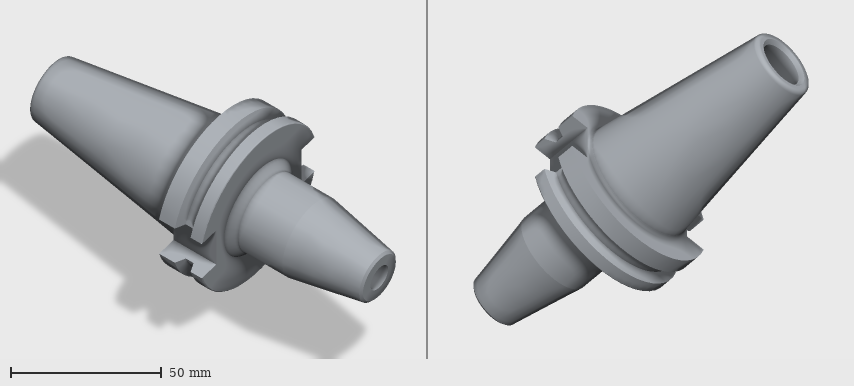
import cadquery as cq
import math


total_length = 138.2
flange_start = 69.2
flange_width = 18.0
flange_end = flange_start + flange_width
collar_end = 90.4
nose_start = 109.2

gauge_diameter = 44.5
gauge_position = 68.4
taper_slope = 7 / 24 / 2
taper_end_radius = gauge_diameter / 2 - taper_slope * gauge_position
taper_root_radius = taper_end_radius + taper_slope * flange_start
taper_end_fillet = 1.7
taper_root_fillet = 1.2

flange_radius = 31.6
flange_edge_fillet = 0.4
groove_start = 75.9
groove_end = 82.5
groove_depth = 3.6
groove_flank = groove_depth * math.tan(math.radians(25))

slot_width = 16.9
slot_floor_minus_y = 22.7
slot_floor_plus_y = 23.4

shoulder_radius = 18.4
neck_radius = 30.3 / 2
nose_tip_radius = 9.7
nose_chamfer = 0.8

mouth_radius = 18.9 / 2
counterbore_radius = 16.3 / 2
mouth_depth = 1.4
counterbore_depth = 7.9
thread_radius = 13.4 / 2
thread_depth = 30.4
inner_mouth_radius = 11 / 2
through_radius = 9.5 / 2
inner_mouth_depth = inner_mouth_radius - through_radius


def revolve_outline(points):
    """Turn an outline of (x, radius) points about the X axis."""
    outline = cq.Workplane("XY").polyline(points).close()
    return outline.revolve(360, (0, 0, 0), (1, 0, 0))


def edge_at(x, radius):
    """Select the circular edges at an axial position and radius."""
    margin = 0.01
    reach = radius + margin
    return cq.selectors.BoxSelector(
        (x - margin, -reach, -reach), (x + margin, reach, reach), boundingbox=True
    )


def make_body():
    groove_radius = flange_radius - groove_depth
    body = revolve_outline([
        (0, 0),
        (0, taper_end_radius),
        (flange_start, taper_root_radius),
        (flange_start, flange_radius),
        (groove_start, flange_radius),
        (groove_start + groove_flank, groove_radius),
        (groove_end - groove_flank, groove_radius),
        (groove_end, flange_radius),
        (flange_end, flange_radius),
        (flange_end, shoulder_radius),
        (collar_end, neck_radius),
        (nose_start, neck_radius),
        (total_length, nose_tip_radius),
        (total_length, 0),
    ])
    body = body.edges(edge_at(0, taper_end_radius)).fillet(taper_end_fillet)
    body = body.edges(edge_at(flange_start, taper_root_radius)).fillet(taper_root_fillet)
    body = body.edges(edge_at(total_length, nose_tip_radius)).chamfer(nose_chamfer)
    flange_rim = edge_at(flange_end, flange_radius) - edge_at(flange_end, shoulder_radius)
    return body.edges(flange_rim).fillet(flange_edge_fillet)


def make_slot(side, slot_floor):
    """Box that cuts one drive slot; side is +1 or -1 along Y."""
    slot_depth = flange_radius - slot_floor
    center_y = side * (slot_floor + slot_depth / 2)
    slot_start = flange_start - taper_root_fillet
    slot_length = flange_end - slot_start
    slot = cq.Workplane("XY").box(slot_length, slot_depth, slot_width)
    return slot.translate((slot_start + slot_length / 2, center_y, 0))


def make_bore():
    return revolve_outline([
        (0, 0),
        (0, mouth_radius),
        (mouth_depth, counterbore_radius),
        (counterbore_depth, counterbore_radius),
        (counterbore_depth, thread_radius),
        (thread_depth, thread_radius),
        (thread_depth, inner_mouth_radius),
        (thread_depth + inner_mouth_depth, through_radius),
        (total_length, through_radius),
        (total_length, 0),
    ])


result = make_body().cut(make_bore())
result = result.cut(make_slot(-1, slot_floor_minus_y))
result = result.cut(make_slot(1, slot_floor_plus_y))